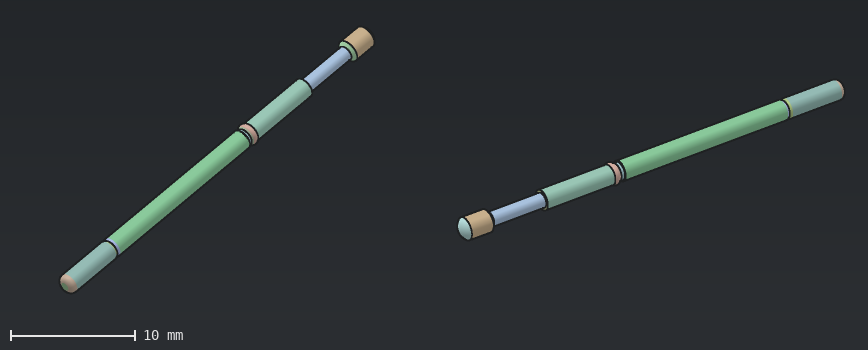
import cadquery as cq
import math

total_length = 37.0
tail_y = -total_length / 2
head_y = total_length / 2

head_radius = 1.0
head_length = 2.63
dome_height = 0.5
head_cone_length = 0.3
stem_radius = 0.648

barrel_radius = 0.9
barrel_length = 29.05
barrel_end_y = tail_y + barrel_length
tail_rounding = 0.5

ring_radius = 1.0
ring_length = 0.5
ring_front_y = tail_y + 22.5
ring_back_y = ring_front_y - ring_length
neck_radius = 0.78
neck_length = 0.48
neck_cone_length = 0.15

crimp_y = tail_y + 5.5
crimp_width = 0.48
crimp_depth = 0.1


def revolve(profile):
    """Turn a (radius, y) profile about the Y axis after closing it."""
    return profile.close().revolve(360, (0, 0, 0), (0, 1, 0))


def plunger():
    cone_start_y = head_y - head_length
    cone_end_y = cone_start_y - head_cone_length
    dome_base_y = head_y - dome_height
    dome_radius = (head_radius**2 + dome_height**2) / (2 * dome_height)
    mid_angle = math.asin(head_radius / dome_radius) / 2
    dome_middle = (
        dome_radius * math.sin(mid_angle),
        head_y - dome_radius * (1 - math.cos(mid_angle)),
    )
    return revolve(
        cq.Workplane("XY")
        .moveTo(0, barrel_end_y)
        .lineTo(stem_radius, barrel_end_y)
        .lineTo(stem_radius, cone_end_y)
        .lineTo(head_radius, cone_start_y)
        .lineTo(head_radius, dome_base_y)
        .threePointArc(dome_middle, (0, head_y))
    )


def tube():
    blank = revolve(
        cq.Workplane("XY")
        .moveTo(0, tail_y)
        .lineTo(barrel_radius, tail_y)
        .lineTo(barrel_radius, barrel_end_y)
        .lineTo(0, barrel_end_y)
    )
    return blank.faces("<Y").edges().fillet(tail_rounding)


def press_ring():
    return revolve(
        cq.Workplane("XY")
        .moveTo(0, ring_back_y)
        .lineTo(barrel_radius, ring_back_y)
        .threePointArc((ring_radius, ring_back_y + ring_length / 2), (barrel_radius, ring_front_y))
        .lineTo(0, ring_front_y)
    )


def neck_groove():
    """Cutter with a cone toward the ring, a flat floor and a square rear wall."""
    back_y = ring_back_y - neck_length
    return revolve(
        cq.Workplane("XY")
        .moveTo(barrel_radius, ring_back_y)
        .lineTo(neck_radius, ring_back_y - neck_cone_length)
        .lineTo(neck_radius, back_y)
        .lineTo(ring_radius, back_y)
        .lineTo(ring_radius, ring_back_y)
    )


def crimp_groove():
    """Cutter whose shoulders are arcs tangent to the barrel, meeting in the crease."""
    half_width = crimp_width / 2
    shoulder_radius = (half_width**2 + crimp_depth**2) / (2 * crimp_depth)
    mid_angle = math.asin(half_width / shoulder_radius) / 2
    middle_radius = barrel_radius - shoulder_radius * (1 - math.cos(mid_angle))
    middle_offset = half_width - shoulder_radius * math.sin(mid_angle)
    start_y = crimp_y - half_width
    end_y = crimp_y + half_width
    return revolve(
        cq.Workplane("XY")
        .moveTo(ring_radius, start_y)
        .lineTo(barrel_radius, start_y)
        .threePointArc((middle_radius, crimp_y - middle_offset), (barrel_radius - crimp_depth, crimp_y))
        .threePointArc((middle_radius, crimp_y + middle_offset), (barrel_radius, end_y))
        .lineTo(ring_radius, end_y)
    )


barrel = tube().cut(neck_groove()).cut(crimp_groove()).union(press_ring())
result = barrel.union(plunger())